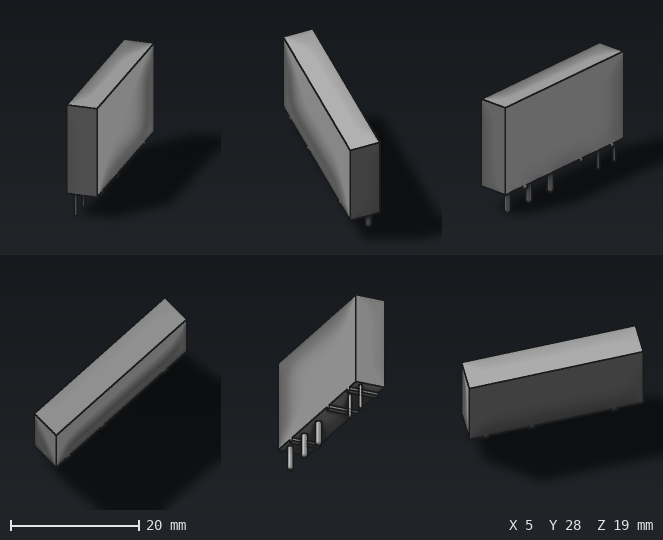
import cadquery as cq

body_width = 5.0
body_length = 28.0
body_height = 15.0

rib_width = 1.0
rib_depth = 0.5
rib_positions = (9.35, -3.92, -11.25)

pin_row_x = -1.3
pin_length = 4.0
contact_pin_diameter = 1.0
contact_pin_pitch = 5.07
contact_pin_count = 3
first_contact_y = 12.15
coil_pin_diameter = 0.5
coil_pin_pitch = 3.8
last_coil_y = -13.13

contact_pin_positions = [first_contact_y - i * contact_pin_pitch for i in range(contact_pin_count)]
coil_pin_positions = [last_coil_y + coil_pin_pitch, last_coil_y]


def make_rib(y):
    """Full-width rib hanging below the body."""
    return (
        cq.Workplane("XY")
        .center(0, y)
        .rect(body_width, rib_width)
        .extrude(-rib_depth)
    )


def make_pin(y, diameter):
    """Round pin hanging below the body, revolved about its own axis."""
    radius = diameter / 2
    shank_end = -(pin_length - radius)
    profile = (
        cq.Workplane("XZ")
        .lineTo(radius, 0)
        .lineTo(radius, shank_end)
        .radiusArc((0, -pin_length), radius)
        .close()
    )
    return profile.revolve(360, (0, 0), (0, 1)).translate((pin_row_x, y, 0))


result = cq.Workplane("XY").rect(body_width, body_length).extrude(body_height)

for rib_y in rib_positions:
    result = result.union(make_rib(rib_y))

for pin_y in contact_pin_positions:
    result = result.union(make_pin(pin_y, contact_pin_diameter))

for pin_y in coil_pin_positions:
    result = result.union(make_pin(pin_y, coil_pin_diameter))